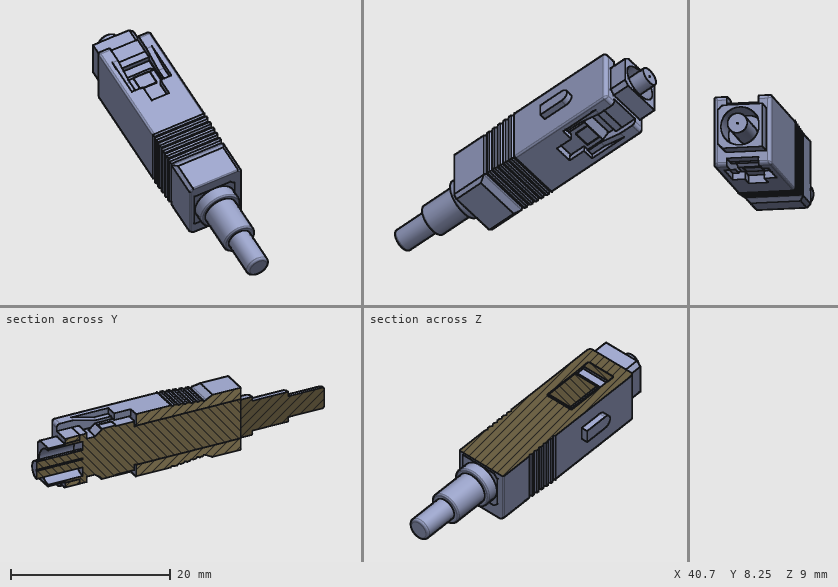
import cadquery as cq


overall_length = 40.7
plug_front_x = 1.63
housing_front_x = 4.0
grip_start_x = 18.95
housing_rear_x = 28.95
collar_end_x = 30.55
sleeve_end_x = 35.65

housing_width = 7.35
housing_height = 9.0
housing_offset_y = 0.15
front_fillet = 0.5
side_fillet = 0.25
end_block_chamfer = 0.5
rear_fillet = 0.15
half_height = housing_height / 2

groove_count = 6
groove_width = 0.53
groove_pitch = 0.9
groove_depth = 0.15
grip_taper = 0.5
end_ramp_length = 0.9
grip_end_x = grip_start_x + (groove_count - 1) * groove_pitch + groove_width

key_start_x = 9.55
key_end_x = 13.95
key_height = 1.9
key_rise = 0.9

slot_width = 4.05
slot_depth = 0.98
slot_end_x = 11.68
side_ramp_width = 5.6
side_ramp_start_x = 6.4
side_ramp_end_x = 9.6
side_ramp_depth = 0.8
notch_width = 2.5
notch_end_x = 14.05
slot_floor_z = half_height - slot_depth

plug_width = 5.75
plug_height = 5.55
plug_chamfer = 0.6
bore_diameter = 4.9
bore_depth = 4.9
ferrule_diameter = 2.52
fibre_diameter = 0.12
ridge_start_x = 6.1
ridge_end_x = 7.12
tongue_width = 3.62
tongue_start_x = 8.25
tongue_ramp_end_x = 9.2
tongue_end_x = 13.85
catch_width = 2.3
catch_end_x = 11.2
catch_rise = 0.12
plug_half_height = plug_height / 2

collar_diameter = plug_height
sleeve_diameter = 4.35
cable_diameter = 3.05
shoulder_fillet = 0.2
cable_end_fillet = 0.33


def block(x_start, x_end, width, z_bottom, z_top, y_center=0.0):
    """Box spanning the given X and Z ranges, centred on y_center."""
    size_x = x_end - x_start
    box = cq.Workplane("XY").box(size_x, width, z_top - z_bottom, centered=(False, True, False))
    return box.translate((x_start, y_center, z_bottom))


def side_prism(points, width, y_center=0.0):
    """XZ outline extruded along Y, centred on y_center."""
    prism = cq.Workplane("XZ").polyline(points).close().extrude(width / 2, both=True)
    return prism.translate((0, y_center, 0))


def rod(x_start, x_end, diameter):
    """Round bar on the ferrule axis."""
    return cq.Workplane("YZ").workplane(offset=x_start).circle(diameter / 2).extrude(x_end - x_start)


def flipped(shape):
    """Mirror image below the XY plane."""
    return shape.mirror("XY")


def plug_section(x_start, x_end):
    """Rectangular bar with its two long edges on the +Y side chamfered."""
    bar = block(x_start, x_end, plug_width, -plug_half_height, plug_half_height)
    return bar.faces(">Y").edges("|X").chamfer(plug_chamfer)


def housing_front():
    """Plain rectangular front length with rounded edges."""
    body = block(
        housing_front_x, grip_start_x, housing_width, -half_height, half_height, housing_offset_y
    )
    body = body.edges("|X").fillet(side_fillet)
    return body.faces("<X").edges().fillet(front_fillet)


def grip():
    """Waist that tapers in height only, from the front length to the end block."""
    waist = half_height - grip_taper
    outline = [
        (grip_start_x, -half_height),
        (grip_end_x, -waist),
        (grip_end_x, waist),
        (grip_start_x, half_height),
    ]
    return side_prism(outline, housing_width, housing_offset_y)


def end_block():
    """Chamfered rear block with a ramp rising from the waist at top and bottom."""
    body = block(
        grip_end_x, housing_rear_x, housing_width, -half_height, half_height, housing_offset_y
    )
    body = body.edges("|X").chamfer(end_block_chamfer)
    body = body.faces(">X").edges().fillet(rear_fillet)
    ramp_gap = side_prism(
        [
            (grip_end_x, half_height - grip_taper),
            (grip_end_x + end_ramp_length, half_height),
            (grip_end_x, half_height),
        ],
        housing_width,
        housing_offset_y,
    )
    return body.cut(ramp_gap).cut(flipped(ramp_gap))


def groove_cutters():
    """V-grooves across the top, bottom and both sides of the grip."""
    cutters = []
    taper_slope = grip_taper / (grip_end_x - grip_start_x)
    side_y = housing_width / 2
    for index in range(groove_count):
        start = grip_start_x + index * groove_pitch
        middle = start + groove_width / 2
        end = start + groove_width
        start_z = half_height - taper_slope * (start - grip_start_x)
        end_z = half_height - taper_slope * (end - grip_start_x)
        bottom_z = (start_z + end_z) / 2 - groove_depth
        top_v = side_prism(
            [(start, start_z), (middle, bottom_z), (end, end_z), (end, start_z)],
            housing_width,
            housing_offset_y,
        )
        side_v = (
            cq.Workplane("XY")
            .polyline([(start, side_y), (middle, side_y - groove_depth), (end, side_y)])
            .close()
            .extrude(half_height, both=True)
        )
        cutters += [top_v, flipped(top_v)]
        for side in (side_v, side_v.mirror("XZ")):
            cutters.append(side.translate((0, housing_offset_y, 0)))
    return cutters


def key():
    """Polarising key on the +Y side with a half-round front end."""
    radius = key_height / 2
    root_y = housing_offset_y + housing_width / 2
    return (
        cq.Workplane("XZ", origin=(0, root_y, 0))
        .moveTo(key_end_x, -radius)
        .lineTo(key_start_x + radius, -radius)
        .threePointArc((key_start_x, 0), (key_start_x + radius, radius))
        .lineTo(key_end_x, radius)
        .close()
        .extrude(-key_rise)
    )


def latch_window():
    """Top opening: front slot, sloping side pockets, rear notch and the tunnel for the tongue."""
    slot = block(housing_front_x, slot_end_x, slot_width, slot_floor_z, half_height, housing_offset_y)
    side_pockets = side_prism(
        [
            (side_ramp_start_x, half_height),
            (side_ramp_end_x, half_height - side_ramp_depth),
            (slot_end_x, half_height - side_ramp_depth),
            (slot_end_x, half_height),
        ],
        side_ramp_width,
        housing_offset_y,
    )
    tunnel = block(
        ridge_start_x, notch_end_x, slot_width, plug_half_height, slot_floor_z, housing_offset_y
    )
    notch = block(slot_end_x, notch_end_x, notch_width, plug_half_height, half_height, housing_offset_y)
    return slot.union(side_pockets).union(tunnel).union(notch)


def make_housing():
    body = housing_front().union(grip()).union(end_block()).union(key())
    for cutter in groove_cutters():
        body = body.cut(cutter)
    window = latch_window()
    body = body.cut(window).cut(flipped(window))
    return body.cut(plug_section(housing_front_x, housing_rear_x))


def latch_tongue():
    """Ridge, ramped tongue and raised catch on the top of the plug."""
    ridge = block(
        ridge_start_x, ridge_end_x, slot_width, plug_half_height, slot_floor_z, housing_offset_y
    )
    tongue = side_prism(
        [
            (tongue_start_x, plug_half_height),
            (tongue_end_x, plug_half_height),
            (tongue_end_x, slot_floor_z),
            (tongue_ramp_end_x, slot_floor_z),
        ],
        tongue_width,
    )
    catch = block(
        tongue_ramp_end_x, catch_end_x, catch_width, slot_floor_z, slot_floor_z + catch_rise
    )
    return ridge.union(tongue).union(catch)


def make_plug():
    """Plug with a round front bore and the ferrule standing in it."""
    bore_end_x = plug_front_x + bore_depth
    body = plug_section(plug_front_x, housing_rear_x)
    body = body.cut(rod(plug_front_x, bore_end_x, bore_diameter))
    body = body.union(rod(0, bore_end_x, ferrule_diameter))
    body = body.cut(rod(0, bore_end_x, fibre_diameter))
    tongue = latch_tongue()
    return body.union(tongue).union(flipped(tongue))


def make_boot():
    """Stepped boot: collar, sleeve and cable, each with a rounded rear edge."""
    collar = rod(housing_rear_x, collar_end_x, collar_diameter)
    sleeve = rod(collar_end_x, sleeve_end_x, sleeve_diameter)
    cable = rod(sleeve_end_x, overall_length, cable_diameter)
    collar = collar.faces(">X").edges().fillet(shoulder_fillet)
    sleeve = sleeve.faces(">X").edges().fillet(shoulder_fillet)
    cable = cable.faces(">X").edges().fillet(cable_end_fillet)
    return collar.union(sleeve).union(cable)


housing = make_housing().solids()
plug = make_plug().solids()
boot = make_boot().solids()

result = cq.Compound.makeCompound([housing.val(), plug.val(), boot.val()])